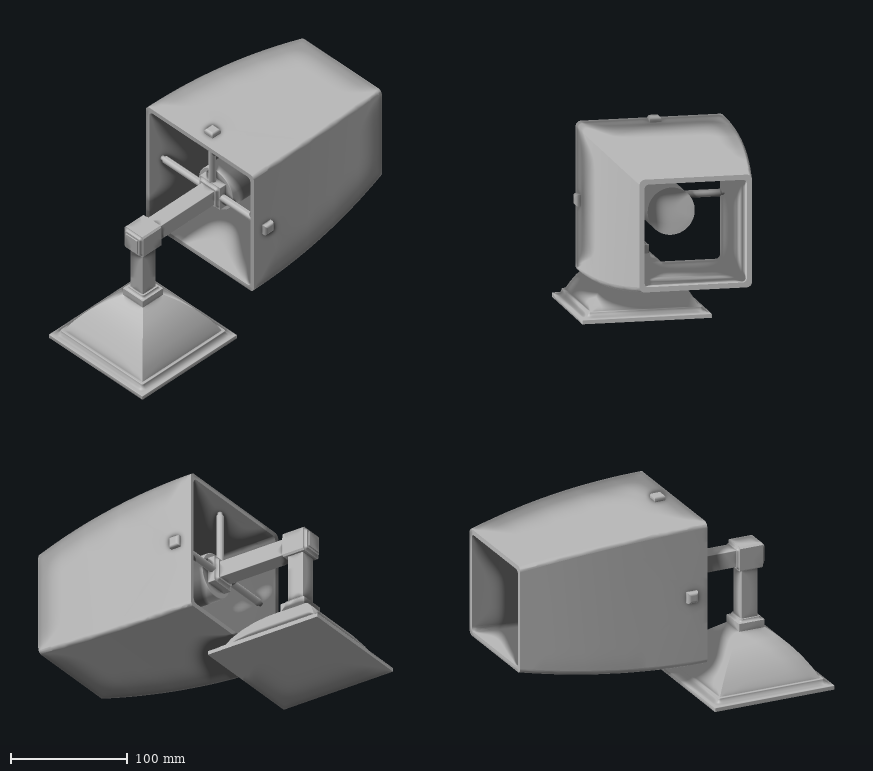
import cadquery as cq
import math


overall_width = 141.5
overall_length = 296.5
overall_height = 186.5

plate_width = 114.2
plate_height = 4.0
molding_width = 111.0
molding_cove = 5.0
molding_top = plate_height + molding_cove
dome_width = 95.5
dome_top = 49.5
dome_bulge = 3.5

bar_width = 15.7
edge_round = 0.5

collar_width = 24.5
collar_height = 7.0
collar_cove = 2.7

step_corner = 1.8
slab_height = 3.0

elbow_width = 22.8
elbow_length = 21.7
elbow_edge = 1.5
elbow_cove = 2.5
button_width = 14.2
button_height = 1.2

shade_front = 68.8
shade_length = overall_length - plate_width / 2 - shade_front
shade_width = 131.7
shade_back_width = 99.0
wall = 4.5
outer_corner = 4.7
inner_corner = 4.0

rod_y = 84.0
rod_radius = 3.3
rod_length = 58.7
rod_chamfer = 1.0
neck_radius = 2.0
cap_width = 10.0
cap_height = 5.5
cap_round = 2.7
cap_reach = overall_width / 2

socket_front = 88.0
socket_radius = 20.8
socket_length = 59.3

axis_z = overall_height - cap_reach


def bar(width, start, end):
    """Square bar centred on the Z axis."""
    return cq.Workplane("XY").workplane(offset=start).rect(width, width).extrude(end - start)


def round_bar(width, start, end):
    """Square bar with slightly rounded long edges."""
    return bar(width, start, end).edges("|Z").fillet(edge_round)


def along_y(body):
    """Turn a body that stands on Z so that it points along -Y at the arm's height."""
    return body.rotate((0, 0, 0), (1, 0, 0), 90).translate((0, 0, axis_z))


def coved_step(width, cove, start):
    """Square step with rounded corners whose hollow sides flare out to the full width."""
    boss_width = width - 2 * cove
    boss = bar(boss_width, 0, cove + slab_height).edges("|Z").fillet(step_corner)
    slab = bar(width + 2 * slab_height, -slab_height, 0)
    slab_top = slab.union(boss).faces("+Z").faces("<Z")
    flared = slab_top.edges("not(>X or <X or >Y or <Y)").fillet(cove)
    return flared.intersect(bar(width, 0, cove)).translate((0, 0, start))


def collar(start):
    """Square collar with a coved end, standing on the given height."""
    top = start + collar_height
    return round_bar(collar_width, start, top).union(coved_step(collar_width, collar_cove, top))


def square_dome():
    """Four-sided dome: two bowed prisms crossing at right angles."""
    bottom = dome_width / 2
    top = collar_width / 2
    rise = dome_top - molding_top
    run = bottom - top
    slant = math.hypot(run, rise)
    middle_x = (bottom + top) / 2 + dome_bulge * rise / slant
    middle_z = (molding_top + dome_top) / 2 + dome_bulge * run / slant
    prism = (
        cq.Workplane("XZ")
        .moveTo(-bottom, molding_top)
        .lineTo(bottom, molding_top)
        .threePointArc((middle_x, middle_z), (top, dome_top))
        .lineTo(-top, dome_top)
        .threePointArc((-middle_x, middle_z), (-bottom, molding_top))
        .close()
        .extrude(dome_width, both=True)
    )
    return prism.intersect(prism.rotate((0, 0, 0), (0, 0, 1), 90))


def base():
    plate = round_bar(plate_width, 0, plate_height).faces(">Z").edges().fillet(edge_round)
    molding = coved_step(molding_width, molding_cove, plate_height)
    molding = molding.faces(">Z").edges().fillet(edge_round)
    return plate.union(molding).union(square_dome()).union(collar(dome_top))


def elbow():
    """Elbow block with coved front and back faces and a raised square button in front."""
    half = elbow_length / 2
    block = bar(elbow_width, -half, half).edges("|Z").chamfer(elbow_edge)
    step = coved_step(elbow_width, elbow_cove, half)
    step_top = half + elbow_cove
    button = bar(button_width, step_top, step_top + button_height)
    return along_y(block.union(step).union(step.mirror("XY")).union(button))


def bowed_form(front_width, back_width, corner):
    """Square form whose sides leave the front edge square and curve inward to the back."""
    front = front_width / 2
    back = back_width / 2
    narrowing = front - back
    bow_radius = (shade_length**2 + narrowing**2) / (2 * narrowing)
    middle_y = shade_length / 2
    middle = front - bow_radius + math.sqrt(bow_radius**2 - middle_y**2)
    prism = (
        cq.Workplane("XY")
        .moveTo(-front, 0)
        .lineTo(front, 0)
        .threePointArc((middle, middle_y), (back, shade_length))
        .lineTo(-back, shade_length)
        .threePointArc((-middle, middle_y), (-front, 0))
        .close()
        .extrude(front_width, both=True)
    )
    form = prism.intersect(prism.rotate((0, 0, 0), (0, 1, 0), 90))
    return form.edges("not(<Y or >Y)").fillet(corner)


def shade():
    """Open-ended shade of even wall thickness."""
    outside = bowed_form(shade_width, shade_back_width, outer_corner)
    inside = bowed_form(shade_width - 2 * wall, shade_back_width - 2 * wall, inner_corner)
    return outside.cut(inside).translate((0, shade_front, axis_z))


def rod():
    """Upright rod with a thin neck through the shade wall and a rounded cap outside."""
    cap_base = cap_reach - cap_height
    thick = cq.Workplane("XY").circle(rod_radius).extrude(rod_length).faces(">Z").chamfer(rod_chamfer)
    neck = cq.Workplane("XY").circle(neck_radius).extrude(cap_base)
    cap = bar(cap_width, cap_base, cap_reach).faces(">Z").edges().fillet(cap_round)
    return thick.union(neck).union(cap)


def rods():
    """One rod upward and one to each side."""
    upright = rod()
    group = upright
    for angle in (-90, 90):
        group = group.union(upright.rotate((0, 0, 0), (0, 1, 0), angle))
    return group.translate((0, rod_y, axis_z))


def socket():
    """Round lamp socket behind the holder."""
    cylinder = cq.Workplane("XY").circle(socket_radius).extrude(-socket_length)
    cylinder = cylinder.faces(">Z").edges().fillet(edge_round)
    return along_y(cylinder.translate((0, 0, -socket_front)))


post = round_bar(bar_width, dome_top, axis_z)
arm = along_y(round_bar(bar_width, -socket_front, 0))
holder = along_y(collar(-socket_front))

result = base()
for piece in (post, elbow(), arm, holder, socket(), rods(), shade()):
    result = result.union(piece)